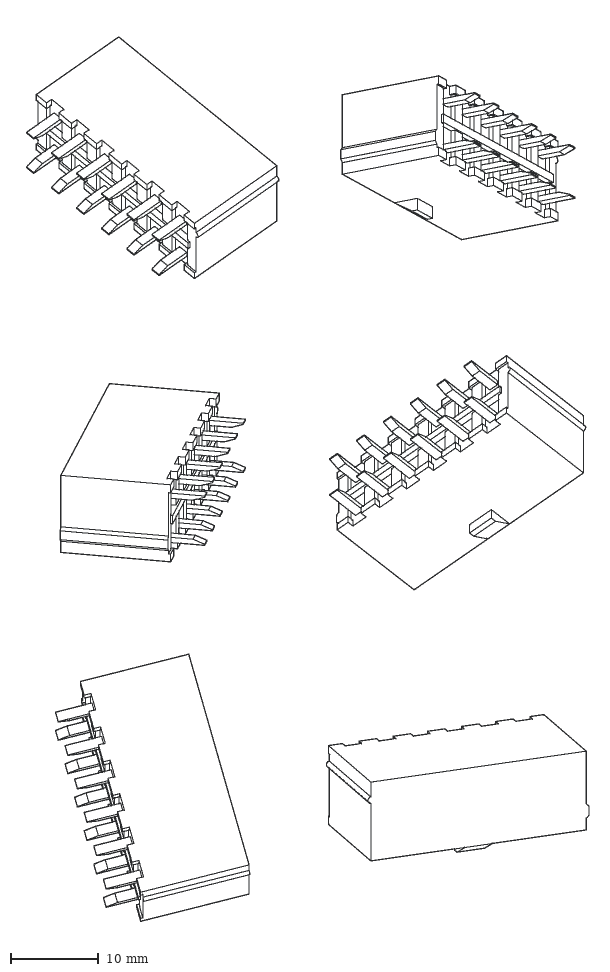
import cadquery as cq

BODY_WIDTH = 26.5
BODY_HEIGHT = 9.6
BODY_DEPTH = 12.8
STANDOFF = 0.25
FACE_DEPTH = BODY_DEPTH - STANDOFF
FLOOR_RECESS = 0.8
EDGE_BAND = 1.0

COLUMNS = 6
PITCH = 4.2
COLUMN_XS = [(i - (COLUMNS - 1) / 2) * PITCH for i in range(COLUMNS)]
CHANNEL_WIDTH = 2.6
NOTCH_WIDTH = 2.05

RAIL_WIDTH = 24.4
RAIL_HEIGHT = 1.0

PIN_WIDTH = 1.2
PIN_THICKNESS = 0.65
PIN_TIP_THICKNESS = 0.15
PIN_TAPER_LENGTH = 1.35
PIN_PROJECTION = 3.5
UPPER_PIN_TOP = 7.6
LOWER_PIN_BOTTOM = 1.45

RIB_PROJECTION = 0.35
LEFT_RIB_BOTTOM = 1.4
LEFT_RIB_HEIGHT = 1.8
RIGHT_RIB_CENTER_Z = 7.4
RIGHT_RIB_HEIGHT = 0.8

LATCH_WIDTH = 3.4
LATCH_LENGTH = 3.05
LATCH_FLAT = 0.7
LATCH_DROP = 1.4

BACK_Y = 0.0
FACE_Y = BACK_Y - FACE_DEPTH
FRONT_Y = BACK_Y - BODY_DEPTH
FLOOR_Y = FRONT_Y + FLOOR_RECESS
TIP_Y = FRONT_Y - PIN_PROJECTION


def block(width, x_center, y_front, y_back, z_bottom, z_top):
    """Box centred on x_center and spanning the given Y and Z ranges."""
    return (
        cq.Workplane("XY")
        .box(width, y_back - y_front, z_top - z_bottom, centered=(True, False, False))
        .translate((x_center, y_front, z_bottom))
    )


def side_profile(points, width, x_center=0.0):
    """Extrude a (Y, Z) outline along X, centred on x_center."""
    return (
        cq.Workplane("YZ")
        .polyline(points)
        .close()
        .extrude(width / 2, both=True)
        .translate((x_center, 0, 0))
    )


def make_housing():
    """Block with its terminal face set back between the edge bands, channelled and notched."""
    band_top = BODY_HEIGHT - EDGE_BAND
    housing = block(BODY_WIDTH, 0, FRONT_Y, BACK_Y, 0, BODY_HEIGHT)
    housing = housing.cut(block(BODY_WIDTH, 0, FRONT_Y, FACE_Y, EDGE_BAND, band_top))
    for x in COLUMN_XS:
        housing = housing.cut(block(CHANNEL_WIDTH, x, FRONT_Y, FLOOR_Y, EDGE_BAND, band_top))
        housing = housing.cut(block(NOTCH_WIDTH, x, FRONT_Y, FLOOR_Y, 0, BODY_HEIGHT))
    return housing


def make_rail():
    """Rail bridging the channels at mid height, down to the channel floor."""
    bottom = (BODY_HEIGHT - RAIL_HEIGHT) / 2
    return block(RAIL_WIDTH, 0, FRONT_Y, FLOOR_Y, bottom, bottom + RAIL_HEIGHT)


def make_pin(x, outer_z, inward):
    """Flat pin with its straight side at outer_z; inward (+1 or -1) is the Z sense of its thickness."""
    inner_z = outer_z + inward * PIN_THICKNESS
    outline = [
        (FLOOR_Y, outer_z),
        (TIP_Y, outer_z),
        (TIP_Y, outer_z + inward * PIN_TIP_THICKNESS),
        (TIP_Y + PIN_TAPER_LENGTH, inner_z),
        (FLOOR_Y, inner_z),
    ]
    return side_profile(outline, PIN_WIDTH, x)


def make_left_rib():
    """Full-depth rib with 45 degree flanks on the -X end."""
    root_x = -BODY_WIDTH / 2
    crest_x = root_x - RIB_PROJECTION
    top = LEFT_RIB_BOTTOM + LEFT_RIB_HEIGHT
    return (
        cq.Workplane("XZ", origin=(0, BACK_Y, 0))
        .moveTo(root_x, LEFT_RIB_BOTTOM)
        .lineTo(crest_x, LEFT_RIB_BOTTOM + RIB_PROJECTION)
        .lineTo(crest_x, top - RIB_PROJECTION)
        .lineTo(root_x, top)
        .close()
        .extrude(FACE_DEPTH)
    )


def make_right_rib():
    """Full-depth rounded rib on the +X end."""
    root_x = BODY_WIDTH / 2
    half_height = RIGHT_RIB_HEIGHT / 2
    return (
        cq.Workplane("XZ", origin=(0, BACK_Y, 0))
        .moveTo(root_x, RIGHT_RIB_CENTER_Z - half_height)
        .threePointArc(
            (root_x + RIB_PROJECTION, RIGHT_RIB_CENTER_Z),
            (root_x, RIGHT_RIB_CENTER_Z + half_height),
        )
        .close()
        .extrude(FACE_DEPTH)
    )


def make_latch():
    """Ramp rising from the back edge to a flat crest and a square catch face."""
    catch_y = BACK_Y - LATCH_LENGTH
    outline = [
        (BACK_Y, 0),
        (catch_y + LATCH_FLAT, -LATCH_DROP),
        (catch_y, -LATCH_DROP),
        (catch_y, 0),
    ]
    return side_profile(outline, LATCH_WIDTH)


result = make_housing().union(make_rail())
for column_x in COLUMN_XS:
    result = result.union(make_pin(column_x, UPPER_PIN_TOP, -1))
    result = result.union(make_pin(column_x, LOWER_PIN_BOTTOM, 1))
result = result.union(make_left_rib()).union(make_right_rib()).union(make_latch())